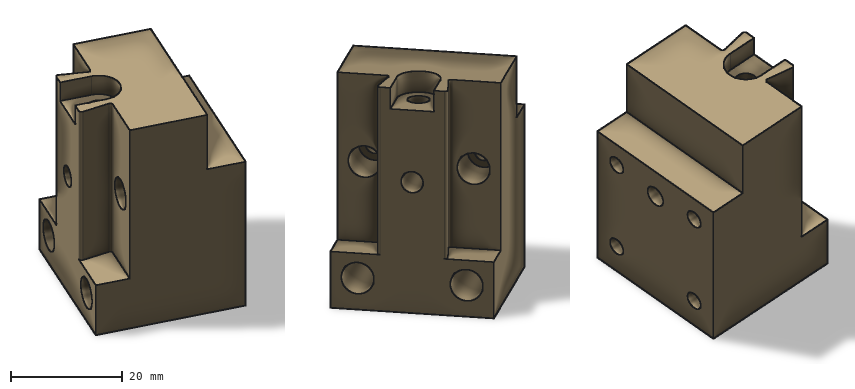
import cadquery as cq
import math

width = 30.0
depth = 28.7
height = 42.75

step_depth = 7.35
step_height = 11.7

ledge_height = 10.77
recess_depth = 6.5
rail_front_half_width = 6.55
rail_taper = 10.0
rail_radius = 0.5

hole_spacing = 20.0
lower_hole_z = 6.03
bolt_diameter = 3.4
counterbore_diameter = 6.0
counterbore_floor_y = 16.0

slot_width = 8.0
slot_depth = 4.0
slot_centre_y = 6.0
bore_diameter = 4.0
vertical_bore_depth = 10.0
cross_bore_z = 25.0


def front_bore(x, z, diameter, length):
    """Cylinder running in +Y from the front face."""
    return cq.Workplane(cq.Solid.makeCylinder(
        diameter / 2, length, cq.Vector(x, 0, z), cq.Vector(0, 1, 0)))


def side_recess(side):
    """Space beside the rail, with a round at the rail's front edge and at its root."""
    taper = math.radians(rail_taper)
    rail_root_half_width = rail_front_half_width - recess_depth * math.tan(taper)
    setback = rail_radius / math.tan((math.pi / 2 - taper) / 2)
    along_x = setback * math.sin(taper)
    along_y = setback * math.cos(taper)
    outer_x = side * width / 2
    rounding = -side * rail_radius
    return (
        cq.Workplane("XY", origin=(0, 0, ledge_height))
        .moveTo(outer_x, 0)
        .lineTo(side * (rail_front_half_width - setback), 0)
        .radiusArc((side * (rail_front_half_width - along_x), along_y), rounding)
        .lineTo(side * (rail_root_half_width + along_x), recess_depth - along_y)
        .radiusArc((side * (rail_root_half_width + setback), recess_depth), -rounding)
        .lineTo(outer_x, recess_depth)
        .close()
        .extrude(height - ledge_height)
    )


def top_slot():
    """Round-ended slot open to the front face."""
    floor = cq.Workplane("XY", origin=(0, 0, height - slot_depth))
    straight = floor.rect(slot_width, 2 * slot_centre_y).extrude(slot_depth)
    round_end = floor.center(0, slot_centre_y).circle(slot_width / 2).extrude(slot_depth)
    return straight.union(round_end)


def vertical_bore():
    """Flat-bottomed blind bore in the slot floor, ending above the cross bore."""
    slot_floor_z = height - slot_depth
    return (
        cq.Workplane("XY", origin=(0, slot_centre_y, slot_floor_z - vertical_bore_depth))
        .circle(bore_diameter / 2)
        .extrude(vertical_bore_depth)
    )


body = cq.Workplane("XY").box(width, depth, height, centered=(True, False, False))

rear_step = (
    cq.Workplane("XY", origin=(0, depth - step_depth, height - step_height))
    .box(width, step_depth, step_height, centered=(True, False, False))
)
body = body.cut(rear_step)

for side in (-1, 1):
    body = body.cut(side_recess(side))
    for hole_z in (lower_hole_z, lower_hole_z + hole_spacing):
        hole_x = side * hole_spacing / 2
        body = body.cut(front_bore(hole_x, hole_z, bolt_diameter, depth))
        body = body.cut(front_bore(hole_x, hole_z, counterbore_diameter, counterbore_floor_y))

body = body.cut(top_slot())
body = body.cut(vertical_bore())
body = body.cut(front_bore(0, cross_bore_z, bore_diameter, depth))

result = body